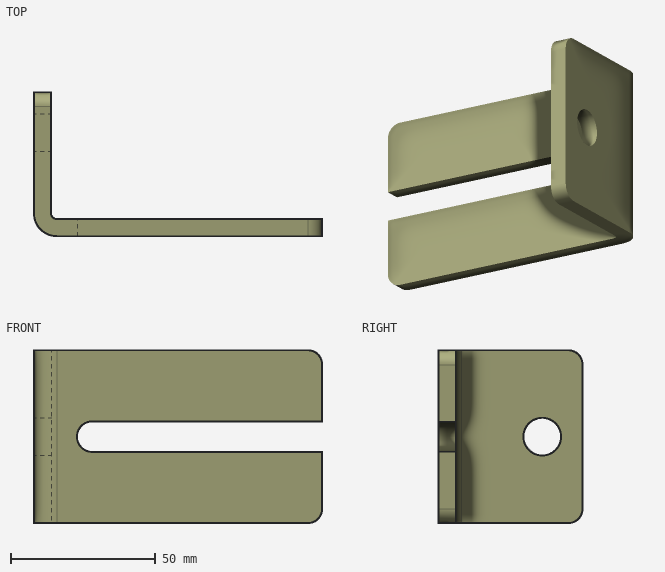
import cadquery as cq

long_leg = 100.0
short_leg = 50.0
height = 60.0
thickness = 6.0

inner_bend_radius = 2.0
outer_bend_radius = inner_bend_radius + thickness
corner_radius = 5.0

slot_width = 10.5
slot_end_x = 15.0

hole_diameter = 13.0
hole_edge_distance = 14.0

mid_height = height / 2


def round_bend(plate, offset, radius):
    """Round the vertical bend edge that lies at X = Y = offset."""
    bend_edge = cq.NearestToPointSelector((offset, offset, mid_height))
    return plate.edges("|Z").edges(bend_edge).fillet(radius)


def bent_plate():
    """L-shaped plate with a rounded bend and rounded free corners."""
    plate = (
        cq.Workplane("XY")
        .polyline([
            (0, 0),
            (long_leg, 0),
            (long_leg, thickness),
            (thickness, thickness),
            (thickness, short_leg),
            (0, short_leg),
        ])
        .close()
        .extrude(height)
    )
    plate = round_bend(plate, 0, outer_bend_radius)
    plate = round_bend(plate, thickness, inner_bend_radius)
    plate = plate.faces(">X").edges("|Y").fillet(corner_radius)
    return plate.faces(">Y").edges("|X").fillet(corner_radius)


def slot_cutter():
    """Slot with one round end, running out through the free edge of the long leg."""
    slot_radius = slot_width / 2
    arc_centre_x = slot_end_x + slot_radius
    return (
        cq.Workplane("XZ")
        .moveTo(long_leg, mid_height - slot_radius)
        .lineTo(arc_centre_x, mid_height - slot_radius)
        .threePointArc((slot_end_x, mid_height), (arc_centre_x, mid_height + slot_radius))
        .lineTo(long_leg, mid_height + slot_radius)
        .close()
        .extrude(-thickness)
    )


def hole_cutter():
    """Round hole through the short leg."""
    return (
        cq.Workplane("YZ")
        .center(short_leg - hole_edge_distance, mid_height)
        .circle(hole_diameter / 2)
        .extrude(thickness)
    )


result = bent_plate().cut(slot_cutter()).cut(hole_cutter())